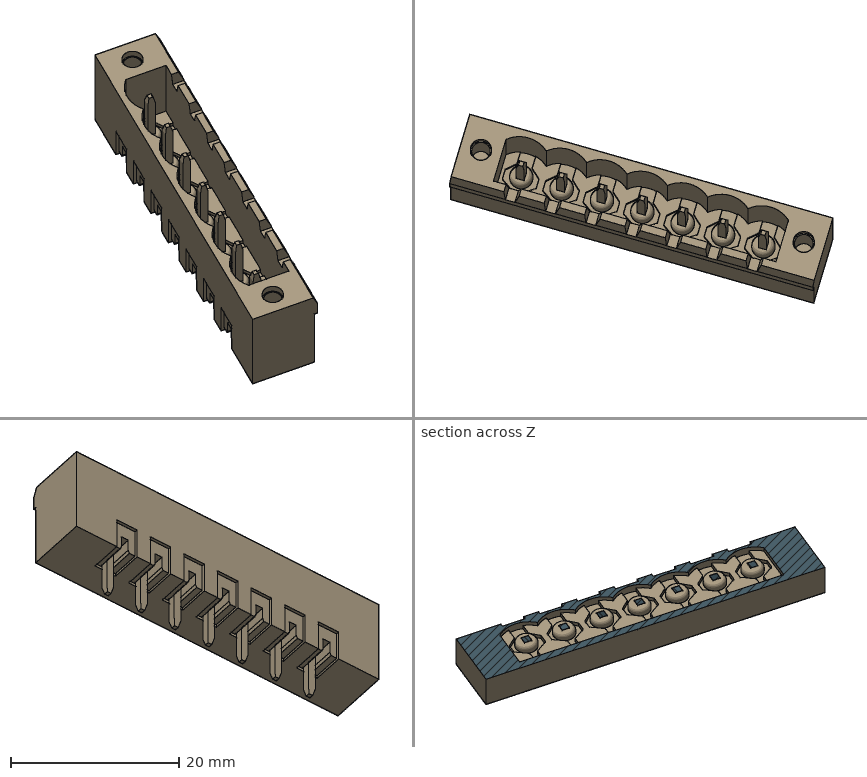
import cadquery as cq


pole_count = 7
length = 45.0
pitch = length / (pole_count + 2)
pin_y = 3.8
pole_positions = [(pitch * (i - (pole_count - 1) / 2), pin_y) for i in range(pole_count)]
mount_positions = [(side * (length - pitch) / 2, pin_y) for side in (-1, 1)]

height = 12.0
depth = 8.5
lip_overhang = 0.4
lip_height = 3.1
lip_chamfer_depth = 0.6
lip_chamfer_height = 1.3
body_depth = depth - lip_overhang

cavity_floor_z = 3.5
cavity_back_y = 7.0
scallop_front_y = 0.8
scallop_cusp_y = 1.75

floor_recess_depth = 0.5
recess_back_slot_width = 1.0
recess_front_slot_width = 1.9
recess_width = 4.2
recess_back_slot_y = 5.75
recess_side_back_y = 4.7
recess_side_front_y = 3.45
recess_front_slot_y = 2.45

collar_diameter = 2.8
collar_height = 1.0
collar_rounding = 0.6

notch_top_width = 1.9
notch_bottom_width = 1.15
notch_depth = 1.45

pin_width = 1.0
pin_top_z = 10.65
pin_tail_length = 4.0
tip_width = 0.55
tip_length = 1.0

window_width = 3.0
window_height = 4.3
window_depth = 0.4
relief_height = 0.4
pin_slot_top_z = 2.45
slot_flare_width = 0.2
slot_flare_height = 0.4
pin_back_y = pin_y + pin_width / 2

mount_hole_diameter = 2.5
mount_hole_depth = height / 2
sleeve_bore_diameter = 2.2
sleeve_top_gap = 0.9


def box(x, width, y_start, y_end, z_start, z_end):
    """Block centred on x, between the given limits in Y and Z."""
    size = (width, y_end - y_start, z_end - z_start)
    return cq.Workplane("XY").box(*size, centered=(True, False, False)).translate((x, y_start, z_start))


def make_block():
    """Outer block of the housing, extruded along X from its end profile."""
    return (
        cq.Workplane("YZ")
        .polyline(
            [
                (0, 0),
                (body_depth, 0),
                (body_depth, height - lip_height),
                (depth, height - lip_height),
                (depth, height - lip_chamfer_height),
                (depth - lip_chamfer_depth, height),
                (0, height),
            ]
        )
        .close()
        .extrude(length / 2, both=True)
    )


def make_cavity():
    """Plug cavity, open at the top."""
    half_length = pole_count * pitch / 2
    outline = (
        cq.Workplane("XY", origin=(0, 0, cavity_floor_z))
        .moveTo(half_length, cavity_back_y)
        .lineTo(-half_length, cavity_back_y)
        .lineTo(-half_length, scallop_cusp_y)
    )
    for x, _ in pole_positions:
        outline = outline.threePointArc((x, scallop_front_y), (x + pitch / 2, scallop_cusp_y))
    return outline.close().extrude(height - cavity_floor_z)


def make_floor_recess(x):
    """Keyhole-shaped recess below the cavity floor, reaching from the back wall to the scallop."""
    right_side = [
        (recess_front_slot_width / 2, scallop_front_y),
        (recess_front_slot_width / 2, recess_front_slot_y),
        (recess_width / 2, recess_side_front_y),
        (recess_width / 2, recess_side_back_y),
        (recess_back_slot_width / 2, recess_back_slot_y),
        (recess_back_slot_width / 2, cavity_back_y),
    ]
    left_side = [(-across, y) for across, y in reversed(right_side)]
    keyhole = (
        cq.Workplane("XY", origin=(x, 0, cavity_floor_z - floor_recess_depth))
        .polyline(right_side + left_side)
        .close()
        .extrude(floor_recess_depth)
    )
    cavity_plan = make_cavity().translate((0, 0, -floor_recess_depth))
    return keyhole.intersect(cavity_plan)


def make_collar(x):
    """Round collar with a rounded shoulder, standing on the floor of the recess."""
    return (
        cq.Workplane("XY", origin=(x, pin_y, cavity_floor_z - floor_recess_depth))
        .circle(collar_diameter / 2)
        .extrude(collar_height)
        .faces(">Z")
        .edges()
        .fillet(collar_rounding)
    )


def make_coding_notch(x):
    """Notch with sloping sides, cut through the back wall and its lip."""
    top = height
    bottom = height - notch_depth
    return (
        cq.Workplane("XZ", origin=(x, depth, 0))
        .polyline(
            [
                (-notch_top_width / 2, top),
                (-notch_bottom_width / 2, bottom),
                (notch_bottom_width / 2, bottom),
                (notch_top_width / 2, top),
            ]
        )
        .close()
        .extrude(depth - cavity_back_y)
    )


def make_underside_cut(x):
    """Front window, bottom relief and pin slot with a flared mouth."""
    window = box(x, window_width, 0, window_depth, 0, window_height)
    relief = box(x, window_width, 0, pin_back_y, 0, relief_height)
    slot = box(x, pin_width, 0, pin_back_y, 0, pin_slot_top_z)
    half_slot = pin_width / 2
    half_mouth = half_slot + slot_flare_width
    mouth = (
        cq.Workplane("XZ", origin=(x, pin_back_y, relief_height))
        .polyline(
            [
                (-half_mouth, 0),
                (half_mouth, 0),
                (half_slot, slot_flare_height),
                (-half_slot, slot_flare_height),
            ]
        )
        .close()
        .extrude(pin_back_y)
    )
    return window.union(relief).union(slot).union(mouth)


def make_tip(z, direction):
    """Tapered end of a pin, pointing up (+1) or down (-1) from the level z."""
    return (
        cq.Workplane("XY", origin=(0, 0, z))
        .rect(pin_width, pin_width)
        .workplane(offset=direction * tip_length)
        .rect(tip_width, tip_width)
        .loft()
    )


def make_pin(position):
    """Straight square pin, tapered at both ends."""
    shank_bottom_z = tip_length - pin_tail_length
    shank_top_z = pin_top_z - tip_length
    pin = (
        cq.Workplane("XY", origin=(0, 0, shank_bottom_z))
        .rect(pin_width, pin_width)
        .extrude(shank_top_z - shank_bottom_z)
        .union(make_tip(shank_top_z, 1))
        .union(make_tip(shank_bottom_z, -1))
    )
    return pin.translate((*position, 0))


def make_sleeve(position):
    """Plain sleeve seated on the bottom of a mounting hole, below the top face."""
    return (
        cq.Workplane("XY", origin=(*position, height - mount_hole_depth))
        .circle(mount_hole_diameter / 2)
        .circle(sleeve_bore_diameter / 2)
        .extrude(mount_hole_depth - sleeve_top_gap)
    )


def make_housing(fitted_pins):
    """Housing with all its openings, including a fitting hole for each pin."""
    body = make_block().cut(make_cavity())
    for x, _ in pole_positions:
        body = body.cut(make_floor_recess(x)).union(make_collar(x))
        body = body.cut(make_coding_notch(x)).cut(make_underside_cut(x))
    for pin in fitted_pins:
        body = body.cut(pin)
    mount_holes = (
        cq.Workplane("XY", origin=(0, 0, height))
        .pushPoints(mount_positions)
        .circle(mount_hole_diameter / 2)
        .extrude(-mount_hole_depth)
    )
    return body.cut(mount_holes)


pins = [make_pin(position) for position in pole_positions]
sleeves = [make_sleeve(position) for position in mount_positions]
housing = make_housing(pins)

result = cq.Compound.makeCompound([body.val() for body in [housing, *pins, *sleeves]])